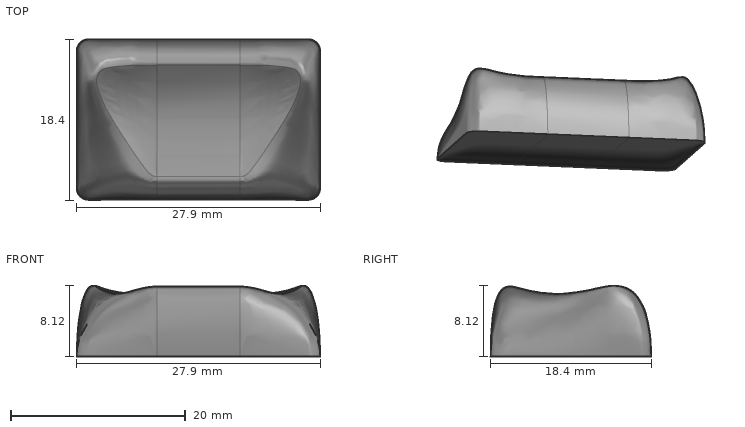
import cadquery as cq

shapes = cq.occ_impl.shapes

length = 27.88
width = 18.4
corner_radius = 1.4
half_length = length / 2
half_width = width / 2

middle_half = 4.75

trough_low_z = 6.81
trough_low_y = 1.7
trough_radius = 29.0
rim_front_y = -6.5
rim_back_y = 6.26
rim_end_x = 11.68
curl_height = 1.062
curl_power = 3.5
curl_length = rim_end_x - middle_half

stations = [
    (0.00, -middle_half, rim_front_y, 4.6, 2.3),
    (0.12, -5.5, -6.25, 4.6, 2.3),
    (0.22, -6.5, -5.1, 4.0, 2.8),
    (0.37, -9.69, -0.27, 3.4, 2.2),
    (0.50, -11.1, 2.4, 3.6, 1.6),
    (0.65, -rim_end_x, 4.6, 4.4, 1.55),
    (0.75, -11.3, 5.5, 4.5, 1.6),
    (0.83, -10.2, 6.0, 4.1, 2.0),
    (0.91, -8.0, 6.23, 4.0, 2.0),
    (1.00, -middle_half, rim_back_y, 4.0, 1.5),
]

section_count = 41
loft_degree = 5
sew_tolerance = 0.01


def curl_share(x):
    """Distance past the middle stretch, as a share of the curled length."""
    return max(abs(x) - middle_half, 0.0) / curl_length


def dish_point(x, y):
    """Point of the dish surface at a plan position."""
    trough = (y - trough_low_y) ** 2 / (2 * trough_radius)
    curl = curl_height * curl_share(x) ** curl_power
    return cq.Vector(x, y, trough_low_z + trough + curl)


def dish_tangent(point, direction):
    """Horizontal direction tilted to follow the dish surface on the left end."""
    slope_x = -curl_power * curl_height / curl_length * curl_share(point.x) ** (curl_power - 1)
    slope_y = (point.y - trough_low_y) / trough_radius
    return cq.Vector(direction.x, direction.y, slope_x * direction.x + slope_y * direction.y)


def base_outline():
    """Base outline of the left end, from the front joint round to the back joint."""
    straight_x = corner_radius - half_length
    straight_y = half_width - corner_radius
    outline = (
        cq.Workplane("XY")
        .moveTo(-middle_half, -half_width)
        .lineTo(straight_x, -half_width)
        .radiusArc((-half_length, -straight_y), corner_radius)
        .lineTo(-half_length, straight_y)
        .radiusArc((straight_x, half_width), corner_radius)
        .lineTo(-middle_half, half_width)
    )
    return outline.wire().val()


def rim_outline():
    """Plan curve of the rim, running straight into the middle stretch at both joints."""
    points = [cq.Vector(x, y) for _, x, y, _, _ in stations]
    fractions = [station[0] for station in stations]
    end_tangents = [cq.Vector(-1, 0), cq.Vector(1, 0)]
    return cq.Edge.makeSpline(points, tangents=end_tangents, parameters=fractions)


def wall_shape(fraction):
    """Wall rise and shoulder reach at a fraction of the outline, linear between stations."""
    after_index = next(i for i, station in enumerate(stations) if i > 0 and fraction <= station[0])
    start, _, _, start_rise, start_reach = stations[after_index - 1]
    end, _, _, end_rise, end_reach = stations[after_index]
    share = (fraction - start) / (end - start)
    rise = start_rise + share * (end_rise - start_rise)
    reach = start_reach + share * (end_reach - start_reach)
    return rise, reach


def wall_curve(foot, rim, rise, reach):
    """Curve that leaves the base upright and rolls over the shoulder onto the dish."""
    outward = cq.Vector(foot.x - rim.x, foot.y - rim.y, 0).normalized()
    upright = foot + cq.Vector(0, 0, rise)
    shoulder = rim + dish_tangent(rim, outward) * reach
    return cq.Edge.makeBezier([foot, upright, shoulder, rim])


def dish_curve(start, end):
    """Curve between two points of the dish, tangent to the dish at both."""
    third = (end - start) / 3
    after_start = start + dish_tangent(start, third)
    before_end = end - dish_tangent(end, third)
    return cq.Edge.makeBezier([start, after_start, before_end, end])


def loft_face(sections):
    """Smooth face through a row of curves; the row may start and end at a point."""
    return shapes.loft(*sections, degree=loft_degree).faces()


base_path = base_outline()
rim_path = rim_outline()
walls = []
dish_curves = []
for index in range(section_count):
    fraction = index / (section_count - 1)
    rim_plan = rim_path.positionAt(fraction, mode="parameter")
    rim = dish_point(rim_plan.x, rim_plan.y)
    walls.append(wall_curve(base_path.positionAt(fraction), rim, *wall_shape(fraction)))
    if 0 < fraction < 1:
        joint_y = rim_front_y + fraction * (rim_back_y - rim_front_y)
        dish_curves.append(dish_curve(dish_point(-middle_half, joint_y), rim))

front_wall = walls[0]
back_wall = walls[-1]
front_rim = front_wall.endPoint()
back_rim = back_wall.endPoint()
trough_curve = dish_curve(front_rim, back_rim)
base_line = cq.Edge.makeLine(front_wall.startPoint(), back_wall.startPoint())
middle_profile = [front_wall, trough_curve, back_wall, base_line]

dish_tips = [cq.Vertex.makeVertex(*tip.toTuple()) for tip in (front_rim, back_rim)]
outer_wall = loft_face(walls)
dish = loft_face([dish_tips[0], *dish_curves, dish_tips[1]])
base = cq.Face.makeFromWires(cq.Wire.assembleEdges([*base_path.Edges(), base_line]))

left_faces = [outer_wall, dish, base]
right_faces = [face.mirror("YZ") for face in left_faces]
middle_faces = [cq.Face.makeRuledSurface(edge, edge.mirror("YZ")) for edge in middle_profile]
skin = shapes.shell(*left_faces, *right_faces, *middle_faces, tol=sew_tolerance)
result = cq.Workplane(obj=cq.Solid.makeSolid(skin))